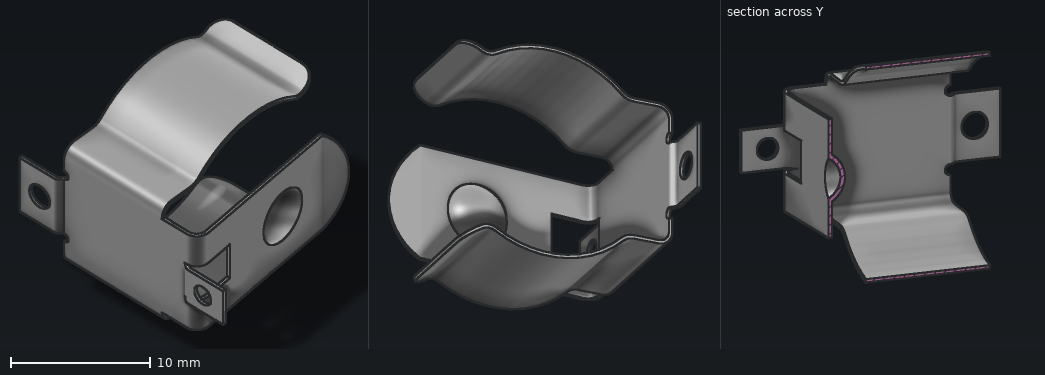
import cadquery as cq
import math

SHEET = 0.28
BEND_TIGHT = 0.32
BEND_WIDE = 0.82

BASE_LENGTH = 11.93
BASE_HALF_WIDTH = 4.47

SPRING_LEAN = 5.0
SPRING_LENGTH = 13.22
TIP_FLARE = 15.0
TIP_LENGTH = 2.26
DOME_DISTANCE = 8.70
DOME_RADIUS = 2.45
DOME_HEIGHT = 1.53

ARM_WIDTH = 9.54
GRIP_TOP = 8.30
GRIP_RADIUS = 8.45
GRIP_CENTER_Y = 9.77
THROAT_RADIUS = 1.25
LIP_BEND_RADIUS = 0.95
LIP_BEND_Y = 14.53
LIP_ANGLE = 30.0
LIP_LENGTH = 1.62
LIP_CORNER_RADIUS = 1.5

TAB_OFFSET = 0.40
LEFT_TAB_END = -3.97
LEFT_TAB_WIDTH = 5.13
LEFT_TAB_ANGLE = 45.0
LEFT_HOLE_X = -2.02
LEFT_HOLE_DIAMETER = 2.01
NOTCH_RADIUS = 0.41
RIGHT_TAB_END = 15.91
RIGHT_TAB_WIDTH = 3.20
RIGHT_TAB_BEND_END = 12.49
RIGHT_TAB_ANGLE = 40.0
RIGHT_TAB_ROOT_RADIUS = 0.15
RIGHT_HOLE_X = 13.90
RIGHT_HOLE_DIAMETER = 1.63
WINDOW_HEIGHT = 3.69

OVERLAP = 0.5
NEGLIGIBLE = 1e-6


def direction(angle):
    """Unit vector at the given angle in degrees."""
    return cq.Vector(math.cos(math.radians(angle)), math.sin(math.radians(angle)))


def strip_faces(start, heading, moves):
    """Follow a bent sheet along its right face.

    A move is a length for a straight run, or (turn in degrees, inside radius)
    for a bend, where a positive turn is to the left. Returns the start points
    of both faces, the (middle, end) points of each move on both faces and the
    final heading.
    """
    point = cq.Vector(*start)
    sides = (0.0, SHEET)
    starts = [point + direction(heading + 90) * side for side in sides]
    steps = []
    for move in moves:
        if isinstance(move, tuple):
            turn, radius = move
            sign = math.copysign(1, turn)
            reach = radius + SHEET if turn > 0 else radius
            center = point + direction(heading + 90) * (sign * reach)
            arcs = []
            for side in sides:
                spoke = sign * side - reach
                middle = center + direction(heading + turn / 2 + 90) * (sign * spoke)
                end = center + direction(heading + turn + 90) * (sign * spoke)
                arcs.append((middle, end))
            steps.append(arcs)
            heading += turn
            point = arcs[0][1]
        else:
            point = point + direction(heading) * move
            steps.append([(None, point + direction(heading + 90) * side) for side in sides])
    return starts, steps, heading


def strip(plane, start, heading, moves, depth, both=False):
    """Solid bent sheet; also returns the end of its right face and its heading."""
    starts, steps, end_heading = strip_faces(start, heading, moves)
    right_ends = [starts[0]] + [step[0][1] for step in steps]
    left_ends = [starts[1]] + [step[1][1] for step in steps]

    def draw(outline, middle, origin, target):
        """Add one move to the outline; a bend of zero radius has no inside arc."""
        if (target - origin).Length < NEGLIGIBLE:
            return outline
        if middle is None:
            return outline.lineTo(target.x, target.y)
        return outline.threePointArc((middle.x, middle.y), (target.x, target.y))

    outline = cq.Workplane(plane).moveTo(starts[0].x, starts[0].y)
    for index, step in enumerate(steps):
        outline = draw(outline, step[0][0], right_ends[index], right_ends[index + 1])
    outline = outline.lineTo(left_ends[-1].x, left_ends[-1].y)
    for index in reversed(range(len(steps))):
        outline = draw(outline, steps[index][1][0], left_ends[index + 1], left_ends[index])
    return outline.close().extrude(depth, both=both), right_ends[-1], end_heading


def base_and_spring():
    """Base plate folded up into the contact spring, with its rounded tip."""
    moves = [
        BASE_LENGTH,
        (90 + SPRING_LEAN, BEND_WIDE),
        SPRING_LENGTH,
        (-SPRING_LEAN - TIP_FLARE, BEND_TIGHT),
        TIP_LENGTH,
    ]
    sheet, tip, heading = strip("XY", (0, 0), 0, moves, BASE_HALF_WIDTH, both=True)

    tip_radius = (BASE_HALF_WIDTH**2 + TIP_LENGTH**2) / (2 * TIP_LENGTH)
    tip_plane = cq.Plane(origin=tip, xDir=direction(heading), normal=direction(heading + 90))
    corners = (
        cq.Workplane(tip_plane)
        .center(-TIP_LENGTH / 2, 0)
        .rect(TIP_LENGTH, 2 * BASE_HALF_WIDTH)
        .extrude(SHEET)
    )
    disc = cq.Workplane(tip_plane).center(-tip_radius, 0).circle(tip_radius).extrude(SHEET)
    return sheet.cut(corners.cut(disc))


def add_dome(body):
    """Hollow dome pressed out of the spring toward the holding arms."""
    along = direction(90 + SPRING_LEAN)
    outward = direction(180 + SPRING_LEAN)
    bend_center = cq.Vector(BASE_LENGTH, SHEET + BEND_WIDE)
    foot = bend_center - outward * BEND_WIDE + along * DOME_DISTANCE
    sphere_radius = (DOME_RADIUS**2 + DOME_HEIGHT**2) / (2 * DOME_HEIGHT)
    center = foot + outward * (DOME_HEIGHT - sphere_radius)

    root = cq.Plane(origin=foot - outward * (SHEET / 2), xDir=along, normal=outward)
    cap_space = cq.Workplane(root).circle(DOME_RADIUS).extrude(SHEET + DOME_HEIGHT)
    core = cq.Workplane(cq.Plane(origin=center, xDir=along, normal=outward))
    ball = core.sphere(sphere_radius)
    hollow = core.sphere(sphere_radius - SHEET)
    return body.union(ball.intersect(cap_space)).cut(hollow)


def holding_arm():
    """Upper arm: side wall, throat, holding arc and flared lip."""
    wall_z = BASE_HALF_WIDTH + BEND_WIDE + SHEET
    grip_center_z = GRIP_TOP - GRIP_RADIUS
    throat_rise = wall_z + THROAT_RADIUS - grip_center_z
    throat_reach = GRIP_RADIUS + THROAT_RADIUS
    throat_angle = math.degrees(math.acos(throat_rise / throat_reach))
    throat_y = GRIP_CENTER_Y - math.sqrt(throat_reach**2 - throat_rise**2)
    lip_reach = GRIP_RADIUS + LIP_BEND_RADIUS
    leave_angle = math.degrees(math.asin((LIP_BEND_Y - GRIP_CENTER_Y) / lip_reach))

    moves = [
        OVERLAP,
        (-90, BEND_WIDE),
        throat_y - BEND_WIDE - SHEET,
        (throat_angle, THROAT_RADIUS),
        (-throat_angle - leave_angle, GRIP_RADIUS - SHEET),
        (leave_angle + LIP_ANGLE, LIP_BEND_RADIUS),
        LIP_LENGTH,
    ]
    start = (SHEET, BASE_HALF_WIDTH - OVERLAP)
    arm = strip("YZ", start, 90, moves, ARM_WIDTH)[0]
    across_lip = direction(LIP_ANGLE + 90)
    lip_corners = cq.selectors.ParallelDirSelector(cq.Vector(0, across_lip.x, across_lip.y))
    return arm.edges(lip_corners).fillet(LIP_CORNER_RADIUS)


def drill(body, x, diameter):
    """Screw hole through a tab, on the plane z = 0."""
    tool = cq.Workplane("XZ", origin=(x, SHEET, 0)).circle(diameter / 2)
    return body.cut(tool.extrude(SHEET + TAB_OFFSET))


def add_left_tab(body):
    """Tab stepped down from the edge x = 0, between two relief notches."""
    angle = math.radians(LEFT_TAB_ANGLE)
    outer_radius = BEND_TIGHT + SHEET
    ramp_rise = TAB_OFFSET - outer_radius * (1 - math.cos(angle))
    bend_x = -outer_radius * math.sin(angle) - ramp_rise / math.tan(angle)
    moves = [
        bend_x - LEFT_TAB_END,
        (LEFT_TAB_ANGLE, BEND_TIGHT),
        ramp_rise / math.sin(angle),
        (-LEFT_TAB_ANGLE, 0),
        OVERLAP,
    ]
    start = (LEFT_TAB_END, -TAB_OFFSET)
    tab = strip("XY", start, 0, moves, LEFT_TAB_WIDTH / 2, both=True)[0]

    notch_z = LEFT_TAB_WIDTH / 2 + NOTCH_RADIUS
    notches = (
        cq.Workplane("XZ", origin=(0, SHEET, 0))
        .pushPoints([(0, notch_z), (0, -notch_z)])
        .circle(NOTCH_RADIUS)
        .extrude(SHEET)
    )
    return drill(body.cut(notches).union(tab), LEFT_HOLE_X, LEFT_HOLE_DIAMETER)


def add_right_tab(body):
    """Tab cut free from the spring and stepped down by a short ramp."""
    angle = math.radians(RIGHT_TAB_ANGLE)
    bend_radii = RIGHT_TAB_ROOT_RADIUS + BEND_TIGHT + SHEET
    ramp_rise = TAB_OFFSET - bend_radii * (1 - math.cos(angle))
    start_x = RIGHT_TAB_BEND_END - bend_radii * math.sin(angle) - ramp_rise / math.tan(angle)
    moves = [
        OVERLAP,
        (-RIGHT_TAB_ANGLE, RIGHT_TAB_ROOT_RADIUS),
        ramp_rise / math.sin(angle),
        (RIGHT_TAB_ANGLE, BEND_TIGHT),
        RIGHT_TAB_END - RIGHT_TAB_BEND_END,
    ]
    start = (start_x - OVERLAP, 0)
    tab = strip("XY", start, 0, moves, RIGHT_TAB_WIDTH / 2, both=True)[0]
    window = cq.Workplane("XY", origin=(start_x, 0, 0)).box(
        RIGHT_TAB_END - start_x, WINDOW_HEIGHT, RIGHT_TAB_WIDTH, centered=(False, False, True)
    )
    return drill(body.cut(window).union(tab), RIGHT_HOLE_X, RIGHT_HOLE_DIAMETER)


clip = add_dome(base_and_spring())
upper_arm = holding_arm()
clip = clip.union(upper_arm).union(upper_arm.mirror("XY"))
clip = add_left_tab(clip)
result = add_right_tab(clip)